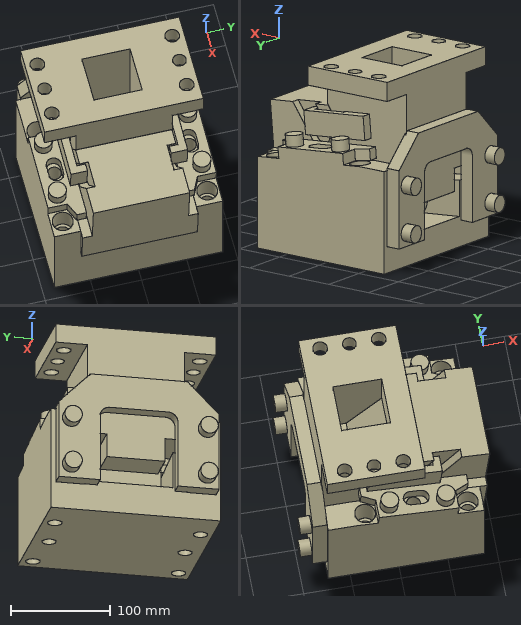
import cadquery as cq
import math


TILT = 5.0
RAMP_START_X = 30.0
BASE_TOP_Z = 107.5
SIDES = (-1, 1)
ENDS = (-1, 1)

BASE_LENGTH = 160.0
BASE_WIDTH = 175.0
CHANNEL_WIDTH = 120.0
CHANNEL_DEPTH = 40.0
KEEL_POCKET_WIDTH = 76.0
KEEL_POCKET_DEPTH = 77.8
KEEL_POCKET_END_U = 66.0
MOUNT_HOLE_X = (40.0, 145.0)
MOUNT_HOLE_Y = 75.0
MOUNT_HOLE_D = 14.5
COUNTERBORE_D = 20.8
COUNTERBORE_Z = 76.0
PIN_HOLE_X = 90.5
PIN_HOLE_Y = 70.0
PIN_HOLE_D = 14.0

BOLT_HEAD_D = 18.0
BOLT_HEAD_HEIGHT = 12.0

PLATE_THICKNESS = 15.0
PLATE_WIDTH = 165.0
PLATE_BOTTOM_Z = 28.0
PLATE_TOP_Z = 142.2
PLATE_TOP_WIDTH = 100.0
PLATE_SHOULDER_Z = 110.0
ARCH_WIDTH = 80.0
ARCH_TOP_Z = 107.5
ARCH_RADIUS = 10.0
RELIEF_WIDTH = 105.0
RELIEF_DEPTH = 0.8
PLATE_BOLT_Y = 70.0
PLATE_BOLT_Z = (42.5, 92.5)

GIB_THICKNESS = 12.0
GIB_START_U = 7.5
GIB_LENGTH = 110.0
GIB_END_SETBACK = 14.0
GIB_INNER_Y = 51.0
GIB_TIP_Y = 61.0
GIB_STEP_Y = 67.5
GIB_CENTER_U = GIB_START_U + GIB_LENGTH / 2
GIB_BOLT_Y = 75.0
GIB_BOLT_PITCH = 58.0
GIB_SLOT_LENGTH = 26.0
GIB_SLOT_WIDTH = 15.0

CAM_ANGLE = 60.0
CAM_FACE_U = 35.8
SLIDER_END_U = 138.5
SLIDER_HEIGHT = 50.0
SLIDER_WIDTH = 100.0
WING_NOSE_X = 44.8
KEEL_WIDTH = 68.0
KEEL_DEPTH = 34.0
KEEL_LENGTH = 30.0
KEEL_RADIUS = 12.0
HOOK_SLOT_RADIUS = 12.5
HOOK_SLOT_DEPTH = 9.0
HOOK_SLOT_U = 77.5
HOOK_SLOT_W = 19.5

UNIT_HEIGHT = 200.0
DRIVER_LENGTH = 100.0
FLANGE_WIDTH = 165.0
FLANGE_THICKNESS = 20.0
NECK_WIDTH = 100.0
NECK_BOTTOM_Z = 84.5
TONGUE_WIDTH = 60.0
TONGUE_BOTTOM_Z = 60.0
RECESS_SIZE = 50.0
RECESS_FLOOR_END_X = 38.5
RECESS_FLOOR_ANGLE = 50.0
RECESS_RISE_TOP_Z = 157.5
FLANGE_HOLE_Y = 70.0
FLANGE_HOLE_PITCH = 30.0
FLANGE_SCREW_D = 14.5
FLANGE_DOWEL_D = 13.5
STRAP_START_U = 13.0
STRAP_END_U = 88.0
STRAP_BOTTOM_W = 20.0
STRAP_HEIGHT = 25.2
STRAP_OUTER_Y = 60.5
STRAP_GAP = 2.5
STRAP_GAP_START_U = 44.0
HOOK_LENGTH = 8.0
HOOK_TIP_Y = 43.5

COS_TILT = math.cos(math.radians(TILT))
SIN_TILT = math.sin(math.radians(TILT))
TAN_TILT = math.tan(math.radians(TILT))
CAM_SLOPE = math.tan(math.radians(CAM_ANGLE - TILT))
RAMP_ORIGIN = (RAMP_START_X, 0, BASE_TOP_Z)
RAMP_DIRECTION = (COS_TILT, 0, -SIN_TILT)
RAMP_PLANE = cq.Plane(RAMP_ORIGIN, RAMP_DIRECTION, (SIN_TILT, 0, COS_TILT))
SIDE_PLANE = cq.Plane(RAMP_ORIGIN, RAMP_DIRECTION, (0, -1, 0))


def box(x0, x1, y0, y1, z0, z1):
    """Upright box between two corners."""
    return cq.Workplane("XY").box(x1 - x0, y1 - y0, z1 - z0, centered=False).translate((x0, y0, z0))


def tilted_box(u0, u1, y0, y1, w0, w1):
    """Box between two corners given in the tilted frame."""
    low_plane = cq.Workplane(RAMP_PLANE).workplane(offset=w0)
    return low_plane.center((u0 + u1) / 2, (y0 + y1) / 2).rect(u1 - u0, y1 - y0).extrude(w1 - w0)


def tilted_profile(points, width):
    """Outline of (u, w) points, extruded to a width centred on Y = 0."""
    return cq.Workplane(SIDE_PLANE).polyline(points).close().extrude(width / 2, both=True)


def across(body):
    """The body together with its mirror image in the plane Y = 0."""
    return body.union(body.mirror("XZ"))


def cam_face_u(w):
    """Position of the inclined face at height w above the ramp."""
    return CAM_FACE_U + w / math.tan(math.radians(CAM_ANGLE))


def cam_face_x(z):
    """Position of the inclined face at level z."""
    crossing_x = RAMP_START_X + CAM_FACE_U * COS_TILT
    crossing_z = BASE_TOP_Z - CAM_FACE_U * SIN_TILT
    return crossing_x + (z - crossing_z) / CAM_SLOPE


def cam_face_z(x):
    """Level of the inclined face at position x."""
    return (x - cam_face_x(0)) * CAM_SLOPE


def make_base_block():
    ramp_end_z = BASE_TOP_Z - (BASE_LENGTH - RAMP_START_X) * TAN_TILT
    outline = [
        (0, 0),
        (BASE_LENGTH, 0),
        (BASE_LENGTH, ramp_end_z),
        (RAMP_START_X, BASE_TOP_Z),
        (0, BASE_TOP_Z),
    ]
    block = cq.Workplane("XZ").polyline(outline).close().extrude(BASE_WIDTH / 2, both=True)

    half_channel = CHANNEL_WIDTH / 2
    half_pocket = KEEL_POCKET_WIDTH / 2
    channel = tilted_box(
        -BASE_LENGTH, 2 * BASE_LENGTH, -half_channel, half_channel, -CHANNEL_DEPTH, CHANNEL_DEPTH
    )
    pocket = tilted_box(
        -BASE_LENGTH, KEEL_POCKET_END_U, -half_pocket, half_pocket, -KEEL_POCKET_DEPTH, -CHANNEL_DEPTH
    )
    block = block.cut(channel).cut(pocket)

    mount_points = [(x, side * MOUNT_HOLE_Y) for x in MOUNT_HOLE_X for side in SIDES]
    mount_holes = cq.Workplane("XY").pushPoints(mount_points).circle(MOUNT_HOLE_D / 2).extrude(BASE_TOP_Z)
    counterbores = (
        cq.Workplane("XY", origin=(0, 0, COUNTERBORE_Z))
        .pushPoints(mount_points)
        .circle(COUNTERBORE_D / 2)
        .extrude(BASE_TOP_Z - COUNTERBORE_Z)
    )
    pin_points = [(PIN_HOLE_X, side * PIN_HOLE_Y) for side in SIDES]
    pin_holes = cq.Workplane("XY").pushPoints(pin_points).circle(PIN_HOLE_D / 2).extrude(BASE_TOP_Z)
    return block.cut(mount_holes).cut(counterbores).cut(pin_holes)


def make_thrust_plate():
    half_width = PLATE_WIDTH / 2
    half_top = PLATE_TOP_WIDTH / 2
    outline = [
        (-half_width, PLATE_BOTTOM_Z),
        (half_width, PLATE_BOTTOM_Z),
        (half_width, PLATE_SHOULDER_Z),
        (half_top, PLATE_TOP_Z),
        (-half_top, PLATE_TOP_Z),
        (-half_width, PLATE_SHOULDER_Z),
    ]
    plate = cq.Workplane("YZ").polyline(outline).close().extrude(-PLATE_THICKNESS)

    arch = box(-PLATE_THICKNESS, 0, -ARCH_WIDTH / 2, ARCH_WIDTH / 2, PLATE_BOTTOM_Z, ARCH_TOP_Z)
    arch = arch.edges("|X and >Z").fillet(ARCH_RADIUS)
    relief = box(-RELIEF_DEPTH, 0, -RELIEF_WIDTH / 2, RELIEF_WIDTH / 2, PLATE_BOTTOM_Z, PLATE_TOP_Z)
    bolt_points = [(side * PLATE_BOLT_Y, z) for z in PLATE_BOLT_Z for side in SIDES]
    bolt_heads = (
        cq.Workplane("YZ", origin=(-PLATE_THICKNESS, 0, 0))
        .pushPoints(bolt_points)
        .circle(BOLT_HEAD_D / 2)
        .extrude(-BOLT_HEAD_HEIGHT)
    )
    return plate.cut(arch).cut(relief).union(bolt_heads)


def make_gib():
    """Gib with its two bolt heads, on the +Y side."""
    gib_end_u = GIB_START_U + GIB_LENGTH
    outline = [
        (GIB_START_U, GIB_INNER_Y),
        (gib_end_u, GIB_INNER_Y),
        (gib_end_u, GIB_TIP_Y),
        (gib_end_u - GIB_END_SETBACK, GIB_STEP_Y),
        (gib_end_u - GIB_END_SETBACK, BASE_WIDTH / 2),
        (GIB_START_U + GIB_END_SETBACK, BASE_WIDTH / 2),
        (GIB_START_U + GIB_END_SETBACK, GIB_STEP_Y),
        (GIB_START_U, GIB_TIP_Y),
    ]
    gib = cq.Workplane(RAMP_PLANE).polyline(outline).close().extrude(GIB_THICKNESS)
    slot = (
        cq.Workplane(RAMP_PLANE)
        .center(GIB_CENTER_U, PIN_HOLE_Y)
        .slot2D(GIB_SLOT_LENGTH, GIB_SLOT_WIDTH)
        .extrude(GIB_THICKNESS)
    )
    bolt_points = [(GIB_CENTER_U + end * GIB_BOLT_PITCH / 2, GIB_BOLT_Y) for end in ENDS]
    bolt_heads = (
        cq.Workplane(RAMP_PLANE)
        .workplane(offset=GIB_THICKNESS)
        .pushPoints(bolt_points)
        .circle(BOLT_HEAD_D / 2)
        .extrude(BOLT_HEAD_HEIGHT)
    )
    return gib.cut(slot).union(bolt_heads)


def make_base():
    return make_base_block().union(make_thrust_plate()).union(across(make_gib()), clean=False)


def make_keel():
    front_u = cam_face_u(-CHANNEL_DEPTH)
    keel = tilted_box(
        front_u,
        front_u + KEEL_LENGTH,
        -KEEL_WIDTH / 2,
        KEEL_WIDTH / 2,
        -CHANNEL_DEPTH - KEEL_DEPTH,
        -CHANNEL_DEPTH,
    )
    long_edges = cq.selectors.ParallelDirSelector(cq.Vector(*RAMP_DIRECTION))
    low_edges = cq.selectors.DirectionMinMaxSelector(RAMP_PLANE.zDir, False)
    return keel.edges(long_edges).edges(low_edges).fillet(KEEL_RADIUS)


def make_hook_slot():
    """Round-ended slot in the +Y side of the slider, parallel to its inclined face."""
    run = SLIDER_HEIGHT
    bottom = (
        cq.Workplane(SIDE_PLANE)
        .workplane(offset=-SLIDER_WIDTH / 2)
        .center(HOOK_SLOT_U, HOOK_SLOT_W)
        .transformed(rotate=(0, 0, CAM_ANGLE))
    )
    slot_length = run + 2 * HOOK_SLOT_RADIUS
    return bottom.center(run / 2, 0).slot2D(slot_length, 2 * HOOK_SLOT_RADIUS).extrude(HOOK_SLOT_DEPTH)


def make_slider():
    upper_outline = [
        (cam_face_u(0), 0),
        (SLIDER_END_U, 0),
        (SLIDER_END_U, SLIDER_HEIGHT),
        (cam_face_u(SLIDER_HEIGHT), SLIDER_HEIGHT),
    ]
    wing_outline = [
        (cam_face_u(-CHANNEL_DEPTH), -CHANNEL_DEPTH),
        (SLIDER_END_U, -CHANNEL_DEPTH),
        (SLIDER_END_U, 0),
        (cam_face_u(0), 0),
    ]
    wings = tilted_profile(wing_outline, CHANNEL_WIDTH)
    wing_nose = box(0, WING_NOSE_X, KEEL_WIDTH / 2, CHANNEL_WIDTH / 2, 0, BASE_TOP_Z)
    wings = wings.cut(across(wing_nose))
    upper = tilted_profile(upper_outline, SLIDER_WIDTH).cut(across(make_hook_slot()))
    return wings.union(upper).union(make_keel())


def make_wedge(bottom_z, top_z, width):
    """Block that ends in the inclined face towards +X, below the driver's end face."""
    outline = [(0, bottom_z), (cam_face_x(bottom_z), bottom_z)]
    if cam_face_x(top_z) > DRIVER_LENGTH:
        outline += [(DRIVER_LENGTH, cam_face_z(DRIVER_LENGTH)), (DRIVER_LENGTH, top_z)]
    else:
        outline += [(cam_face_x(top_z), top_z)]
    outline += [(0, top_z)]
    return cq.Workplane("XZ").polyline(outline).close().extrude(width / 2, both=True)


def make_flange():
    half_width = FLANGE_WIDTH / 2
    flange = box(0, DRIVER_LENGTH, -half_width, half_width, UNIT_HEIGHT - FLANGE_THICKNESS, UNIT_HEIGHT)
    for step, diameter in ((-1, FLANGE_SCREW_D), (0, FLANGE_DOWEL_D), (1, FLANGE_SCREW_D)):
        hole_x = DRIVER_LENGTH / 2 + step * FLANGE_HOLE_PITCH
        points = [(hole_x, side * FLANGE_HOLE_Y) for side in SIDES]
        flange = flange.cut(cq.Workplane("XY").pushPoints(points).circle(diameter / 2).extrude(UNIT_HEIGHT))
    return flange


def make_strap():
    """Return strap on the +Y side of the neck, with a hook that enters the slider's slot."""
    top_w = STRAP_BOTTOM_W + STRAP_HEIGHT
    hook_u = STRAP_END_U - HOOK_LENGTH
    neck_y = NECK_WIDTH / 2
    strap = tilted_box(STRAP_START_U, STRAP_END_U, neck_y, STRAP_OUTER_Y, STRAP_BOTTOM_W, top_w)
    gap = tilted_box(STRAP_GAP_START_U, hook_u, neck_y, neck_y + STRAP_GAP, STRAP_BOTTOM_W, top_w)
    hook = tilted_box(hook_u, STRAP_END_U, HOOK_TIP_Y, neck_y, STRAP_BOTTOM_W, top_w)
    return strap.cut(gap).union(hook)


def make_recess():
    start_x = (DRIVER_LENGTH - RECESS_SIZE) / 2
    end_x = start_x + RECESS_SIZE
    rise = (end_x - RECESS_FLOOR_END_X) * math.tan(math.radians(RECESS_FLOOR_ANGLE))
    floor_z = RECESS_RISE_TOP_Z - rise
    outline = [
        (start_x, floor_z),
        (RECESS_FLOOR_END_X, floor_z),
        (end_x, RECESS_RISE_TOP_Z),
        (end_x, UNIT_HEIGHT),
        (start_x, UNIT_HEIGHT),
    ]
    return cq.Workplane("XZ").polyline(outline).close().extrude(RECESS_SIZE / 2, both=True)


def make_driver():
    neck = make_wedge(NECK_BOTTOM_Z, UNIT_HEIGHT - FLANGE_THICKNESS, NECK_WIDTH)
    tongue = make_wedge(TONGUE_BOTTOM_Z, NECK_BOTTOM_Z, TONGUE_WIDTH)
    body = neck.union(tongue).union(make_flange()).cut(make_recess())
    return body.union(across(make_strap()))


base = make_base()
slider = make_slider()
driver = make_driver()

result = cq.Compound.makeCompound([base.solids().val(), slider.solids().val(), driver.solids().val()])